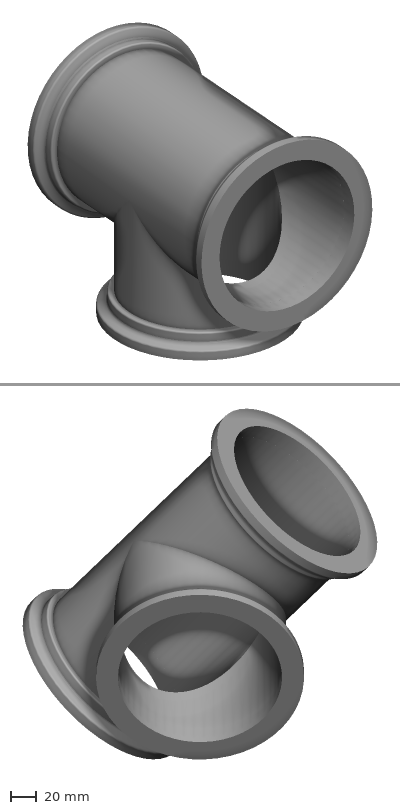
import cadquery as cq
import math

END_REACH = 118.0
TUBE_OUTER_RADIUS = 133.0 / 2
BORE_RADIUS = 127.0 / 2

FLANGE_RADIUS = 161.0 / 2
COLLAR_RADIUS = 144.0 / 2
RIM_THICKNESS = 8.0
RIM_FILLET = 2.0
TAPER_ANGLE = 20
TAPER_RISE = (FLANGE_RADIUS - COLLAR_RADIUS) * math.tan(math.radians(TAPER_ANGLE))
COLLAR_BASE_FILLET = 1.5
FLANGE_DEPTH = 19.8
COLLAR_TOP_FILLET = 1.5
SOCKET_FLOOR = 14.0

TUBE_REACH = END_REACH - SOCKET_FLOOR


def make_tee(radius, reach):
    """Solid run and branch cylinders of one radius, joined into a tee."""
    run = cq.Workplane("YZ").circle(radius).extrude(reach, both=True)
    branch = cq.Workplane("XY").circle(radius).extrude(-reach)
    return run.union(branch)


def make_tube():
    """Hollow tee tube with plain square ends."""
    outside = make_tee(TUBE_OUTER_RADIUS, TUBE_REACH)
    return outside.cut(make_tee(BORE_RADIUS, TUBE_REACH))


def make_flange():
    """Flange around Z: outer face at z = 0, tube socket opening towards +Z."""
    blank = (
        cq.Workplane("XZ")
        .moveTo(BORE_RADIUS, 0)
        .lineTo(FLANGE_RADIUS, 0)
        .lineTo(FLANGE_RADIUS, RIM_THICKNESS)
        .lineTo(COLLAR_RADIUS, RIM_THICKNESS + TAPER_RISE)
        .lineTo(COLLAR_RADIUS, FLANGE_DEPTH)
        .lineTo(TUBE_OUTER_RADIUS, FLANGE_DEPTH)
        .lineTo(TUBE_OUTER_RADIUS, SOCKET_FLOOR)
        .lineTo(BORE_RADIUS, SOCKET_FLOOR)
        .close()
        .revolve(360, (0, 0, 0), (0, 1, 0))
    )
    largest_circle = cq.selectors.RadiusNthSelector(-1)
    second_circle = cq.selectors.RadiusNthSelector(-2)
    flange = blank.edges(second_circle).edges("<Z").fillet(COLLAR_BASE_FILLET)
    flange = flange.edges(largest_circle).edges(">Z").fillet(RIM_FILLET)
    return flange.faces(">Z").edges(largest_circle).fillet(COLLAR_TOP_FILLET)


tube = make_tube()

BRANCH_TO_END_ANGLES = (0, 90, -90)
flanges = [
    make_flange()
    .translate((0, 0, -END_REACH))
    .rotate((0, 0, 0), (0, 1, 0), angle)
    for angle in BRANCH_TO_END_ANGLES
]

result = cq.Compound.makeCompound([tube.val(), *[flange.val() for flange in flanges]])